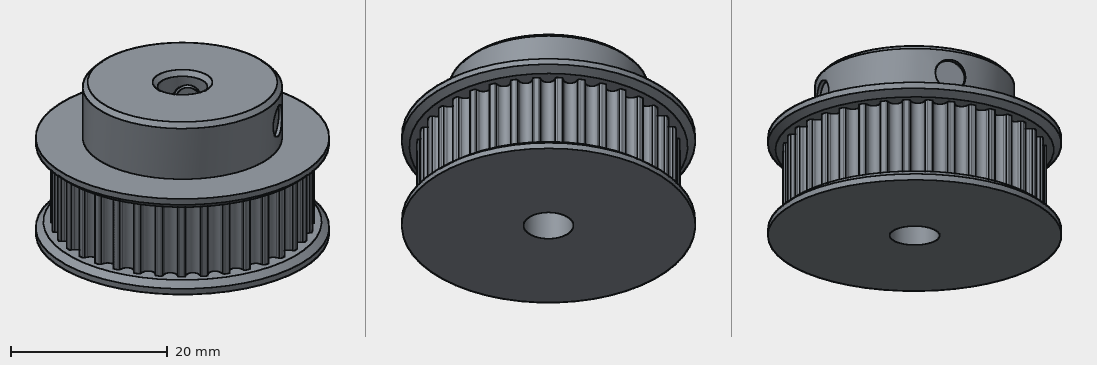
import cadquery as cq
import math

flange_diameter = 37.4
flange_thickness = 1.6
flange_rim_height = 0.82
flange_bevel_width = 0.97
upper_flange_top = 13.43

hub_diameter = 25.45
hub_chamfer = 0.65
total_height = 21.17

bore_diameter = 6.35
bore_chamfer = 0.65

tooth_count = 36
rim_diameter = 33.6
groove_depth = 1.2
land_fillet = 0.22
throat_half_width = 0.97
wall_end_depth = 0.6
bottom_half_width = 0.82

screw_angles = (0, 90)
screw_diameter = 4.1
screw_length = 8.98
screw_tip_chamfer = 0.37
screw_hole_height = (upper_flange_top + total_height) / 2


def flange():
    """Lower flange, bevelled on its upper side, resting on Z = 0."""
    radius = flange_diameter / 2
    profile = (
        cq.Workplane("XZ")
        .moveTo(0, 0)
        .lineTo(radius, 0)
        .lineTo(radius, flange_rim_height)
        .lineTo(radius - flange_bevel_width, flange_thickness)
        .lineTo(0, flange_thickness)
        .close()
    )
    return profile.revolve(360, (0, 0, 0), (0, 1, 0))


def tooth_groove():
    """Groove at +X: rounded mouth corners, slightly tapered walls and a round bottom."""
    rim_radius = rim_diameter / 2
    half_mouth = throat_half_width + land_fillet
    mouth_x = math.sqrt(rim_radius**2 - half_mouth**2)
    throat_x = mouth_x - land_fillet
    bend = land_fillet * math.sqrt(0.5)
    wall_end_x = rim_radius - wall_end_depth
    bottom_x = rim_radius - groove_depth
    outside_x = rim_radius + land_fillet
    profile = (
        cq.Workplane("XY")
        .moveTo(outside_x, -half_mouth)
        .lineTo(mouth_x, -half_mouth)
        .threePointArc((throat_x + bend, -half_mouth + bend), (throat_x, -throat_half_width))
        .lineTo(wall_end_x, -bottom_half_width)
        .threePointArc((bottom_x, 0), (wall_end_x, bottom_half_width))
        .lineTo(throat_x, throat_half_width)
        .threePointArc((throat_x + bend, half_mouth - bend), (mouth_x, half_mouth))
        .lineTo(outside_x, half_mouth)
        .close()
    )
    return profile.extrude(upper_flange_top)


def toothed_rim():
    """Cylinder between the flanges with one groove per tooth, the first at +X."""
    rim = cq.Workplane("XY").circle(rim_diameter / 2).extrude(upper_flange_top)
    groove = tooth_groove()
    for index in range(tooth_count):
        angle = index * 360 / tooth_count
        rim = rim.cut(groove.rotate((0, 0, 0), (0, 0, 1), angle))
    return rim


def hub():
    """Hub cylinder with a chamfered upper edge."""
    body = cq.Workplane("XY").circle(hub_diameter / 2).extrude(total_height)
    return body.faces(">Z").chamfer(hub_chamfer)


def chamfered_bore():
    """Through bore, countersunk at the hub end."""
    radius = bore_diameter / 2
    countersink = (
        cq.Workplane("XY")
        .workplane(offset=total_height - bore_chamfer)
        .circle(radius)
        .workplane(offset=bore_chamfer)
        .circle(radius + bore_chamfer)
        .loft()
    )
    return cq.Workplane("XY").circle(radius).extrude(total_height).union(countersink)


def screw_hole():
    """Radial screw hole toward +X, from the axis to the hub surface."""
    hole = cq.Workplane("YZ").center(0, screw_hole_height).circle(screw_diameter / 2)
    return hole.extrude(hub_diameter / 2)


def set_screw():
    """Set screw toward +X: its chamfered tip ends at the bore, its head is sunk in the hub."""
    blank = cq.Workplane("YZ").workplane(offset=bore_diameter / 2).center(0, screw_hole_height)
    body = blank.circle(screw_diameter / 2).extrude(screw_length)
    return body.faces("<X").chamfer(screw_tip_chamfer)


lower_flange = flange()
upper_flange = lower_flange.mirror("XY").translate((0, 0, upper_flange_top))

result = toothed_rim().union(lower_flange).union(upper_flange).union(hub())
result = result.cut(chamfered_bore())
for angle in screw_angles:
    result = result.cut(screw_hole().rotate((0, 0, 0), (0, 0, 1), angle))
for angle in screw_angles:
    result = result.union(set_screw().rotate((0, 0, 0), (0, 0, 1), angle))